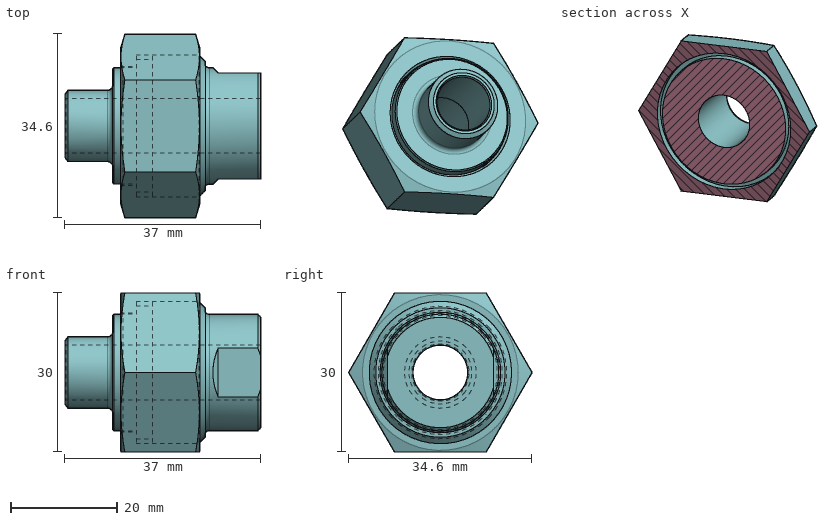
import cadquery as cq
import math


total_length = 37.0
nut_start = 10.5
nut_length = 15.0
nut_end = nut_start + nut_length
nut_lip_length = 3.0
collar_start = nut_start + nut_lip_length
collar_length = 3.0
joint_x = collar_start + collar_length

bore_radius = 10.3 / 2

pipe_radius = 13.5 / 2
pipe_chamfer_length = 0.6
pipe_tip_radius = 5.92
bore_chamfer = 0.25
flange_start = 9.03
flange_radius = 22.0 / 2
flange_chamfer = 0.25
pipe_fillet = (15.4 - 13.5) / 2
collar_radius = 25.0 / 2

across_flats = 30.0
hex_corner_diameter = across_flats / math.cos(math.pi / 6)
corner_chamfer_length = 0.8
nut_face_radius = 14.7
lip_bore_radius = 22.5 / 2
lip_chamfer = 0.45
thread_radius = 26.85 / 2

barrel_radius = 22.0 / 2
barrel_chamfer = 0.6
shoulder_end = 26.5
shoulder_end_radius = 12.2
barrel_fillet = 1.0
barrel_fillet_length = 0.78
wrench_flat_start = 28.95
wrench_flat_distance = 20.0


def revolve_about_x(profile):
    """Close an (x, radius) profile and revolve it about the X axis."""
    return profile.close().revolve(360, (0, 0, 0), (1, 0, 0))


def make_spigot():
    return revolve_about_x(
        cq.Workplane("XY")
        .moveTo(bore_chamfer, bore_radius)
        .lineTo(0, bore_radius + bore_chamfer)
        .lineTo(0, pipe_tip_radius)
        .lineTo(pipe_chamfer_length, pipe_radius)
        .lineTo(flange_start - pipe_fillet, pipe_radius)
        .radiusArc((flange_start, pipe_radius + pipe_fillet), -pipe_fillet)
        .lineTo(flange_start, flange_radius - flange_chamfer)
        .lineTo(flange_start + flange_chamfer, flange_radius)
        .lineTo(collar_start, flange_radius)
        .lineTo(collar_start, collar_radius)
        .lineTo(joint_x, collar_radius)
        .lineTo(joint_x, bore_radius)
    )


def make_nut():
    hexagon = (
        cq.Workplane("YZ", origin=(nut_start, 0, 0))
        .polygon(6, hex_corner_diameter)
        .extrude(nut_length)
    )
    corner_radius = hex_corner_diameter / 2
    envelope = revolve_about_x(
        cq.Workplane("XY")
        .moveTo(nut_start, lip_bore_radius + lip_chamfer)
        .lineTo(nut_start, nut_face_radius)
        .lineTo(nut_start + corner_chamfer_length, corner_radius)
        .lineTo(nut_end - corner_chamfer_length, corner_radius)
        .lineTo(nut_end, nut_face_radius)
        .lineTo(nut_end, thread_radius)
        .lineTo(collar_start, thread_radius)
        .lineTo(collar_start, lip_bore_radius)
        .lineTo(nut_start + lip_chamfer, lip_bore_radius)
    )
    return hexagon.intersect(envelope)


def cut_wrench_flats(body):
    """Cut two opposite flats, each with a 45 degree run-out toward the nut."""
    flat_y = wrench_flat_distance / 2
    cut_depth = barrel_radius - flat_y
    for side in (1, -1):
        cutter = (
            cq.Workplane("XY", origin=(0, 0, -barrel_radius))
            .moveTo(wrench_flat_start, side * flat_y)
            .lineTo(total_length, side * flat_y)
            .lineTo(total_length, side * barrel_radius)
            .lineTo(wrench_flat_start - cut_depth, side * barrel_radius)
            .close()
            .extrude(2 * barrel_radius)
        )
        body = body.cut(cutter)
    return body


def make_socket_end():
    fillet_rise = barrel_fillet - math.sqrt(barrel_fillet**2 - barrel_fillet_length**2)
    cone_start = shoulder_end - (thread_radius - shoulder_end_radius)
    body = revolve_about_x(
        cq.Workplane("XY")
        .moveTo(joint_x, bore_radius)
        .lineTo(joint_x, thread_radius)
        .lineTo(cone_start, thread_radius)
        .lineTo(shoulder_end, shoulder_end_radius)
        .lineTo(shoulder_end, barrel_radius + fillet_rise)
        .radiusArc((shoulder_end + barrel_fillet_length, barrel_radius), -barrel_fillet)
        .lineTo(total_length - barrel_chamfer, barrel_radius)
        .lineTo(total_length, barrel_radius - barrel_chamfer)
        .lineTo(total_length, bore_radius)
    )
    return cut_wrench_flats(body)


spigot = make_spigot()
nut = make_nut()
socket_end = make_socket_end()

result = cq.Compound.makeCompound([spigot.val(), nut.val(), socket_end.val()])